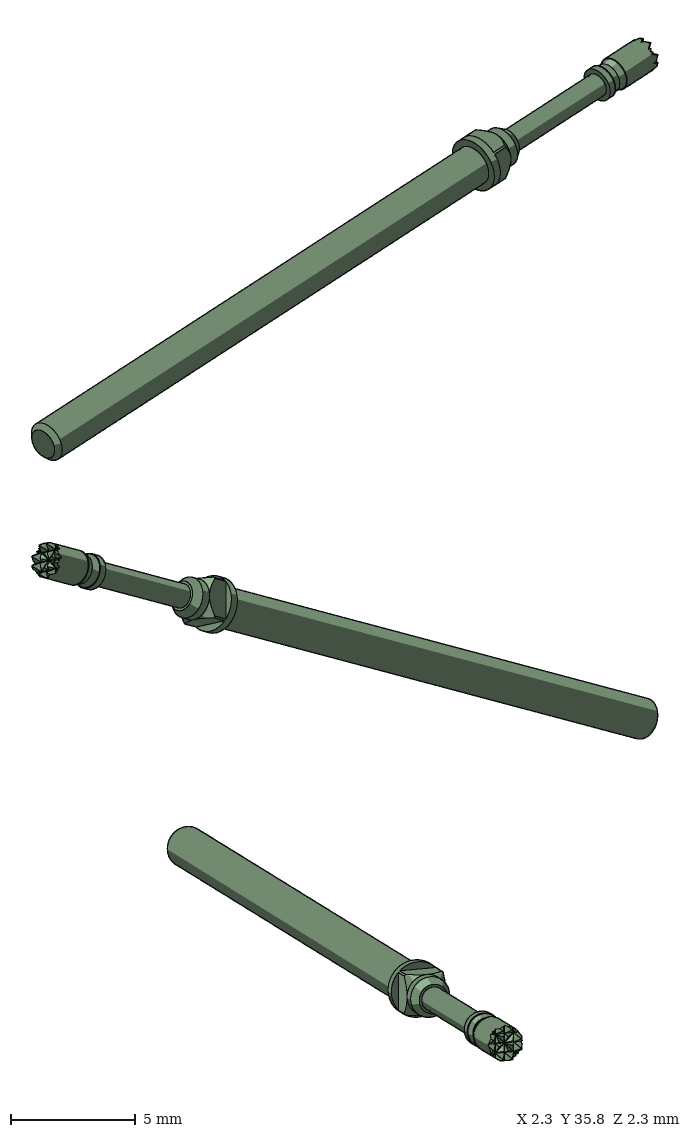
import cadquery as cq
import math

TOTAL_LENGTH = 35.8
TIP_Y = TOTAL_LENGTH / 2

HEAD_R = 0.7
NECK_R = 0.68
WAIST_R = 0.6
STEM_R = 0.5
NOSE_R = 0.6
BARREL_DIAMETER = 1.7
BARREL_R = BARREL_DIAMETER / 2
FLANGE_R = 1.15

HEAD_END = 1.97
WAIST = 2.3
COLLAR_START = 2.65
COLLAR_END = 2.97
NOSE_START = 8.25
NOSE_END = 8.6
SQUARE_START = 9.0
FLANGE_START = 9.95
FLANGE_END = 10.3

END_CHAMFER = 0.2

TOOTH_PITCH = 0.4
TOOTH_DEPTH = 0.35
GROOVES_PER_DIRECTION = 5
DIAGONAL_GROOVE_WIDTH = TOOTH_PITCH * math.sqrt(2)

SQUARE_SIDE = BARREL_DIAMETER
LEAD_IN_LENGTH = 0.32


def revolve_about_axis(points):
    """Turn (radius, y) points, closed along the Y axis, into a solid."""
    return cq.Workplane("XY").polyline(points).close().revolve(360, (0, 0, 0), (0, 1, 0))


def turned_body():
    end_y = -TIP_Y
    return revolve_about_axis([
        (0, TIP_Y),
        (HEAD_R, TIP_Y),
        (HEAD_R, TIP_Y - HEAD_END),
        (NECK_R, TIP_Y - HEAD_END),
        (WAIST_R, TIP_Y - WAIST),
        (NECK_R, TIP_Y - COLLAR_START),
        (HEAD_R, TIP_Y - COLLAR_START),
        (HEAD_R, TIP_Y - COLLAR_END),
        (STEM_R, TIP_Y - COLLAR_END),
        (STEM_R, TIP_Y - NOSE_START),
        (NOSE_R, TIP_Y - NOSE_START),
        (BARREL_R, TIP_Y - NOSE_END),
        (BARREL_R, TIP_Y - FLANGE_START),
        (FLANGE_R, TIP_Y - FLANGE_START),
        (FLANGE_R, TIP_Y - FLANGE_END),
        (BARREL_R, TIP_Y - FLANGE_END),
        (BARREL_R, end_y + END_CHAMFER),
        (BARREL_R - END_CHAMFER, end_y),
        (0, end_y),
    ])


def square_section():
    start_y = TIP_Y - SQUARE_START
    end_y = TIP_Y - FLANGE_START
    length = start_y - end_y
    middle_y = (start_y + end_y) / 2
    block = cq.Workplane("XY").box(SQUARE_SIDE, length, SQUARE_SIDE).translate((0, middle_y, 0))
    envelope = revolve_about_axis([
        (0, start_y),
        (BARREL_R, start_y),
        (FLANGE_R, start_y - LEAD_IN_LENGTH),
        (FLANGE_R, end_y),
        (0, end_y),
    ])
    return block.intersect(envelope)


def crown_groove(offset, width, angle):
    """V groove in the tip, set off from the axis and then turned about it by the angle."""
    groove = (
        cq.Workplane("XY")
        .polyline([
            (offset - width / 2, TIP_Y),
            (offset, TIP_Y - TOOTH_DEPTH),
            (offset + width / 2, TIP_Y),
        ])
        .close()
        .extrude(2 * HEAD_R, both=True)
    )
    return groove.rotate((0, 0, 0), (0, 1, 0), angle)


def cut_crown(body):
    middle = (GROOVES_PER_DIRECTION - 1) / 2
    for angle in (0, 90):
        for index in range(GROOVES_PER_DIRECTION):
            body = body.cut(crown_groove((index - middle) * TOOTH_PITCH, TOOTH_PITCH, angle))
    for angle in (45, 135):
        body = body.cut(crown_groove(0, DIAGONAL_GROOVE_WIDTH, angle))
    return body


result = cut_crown(turned_body().union(square_section()))